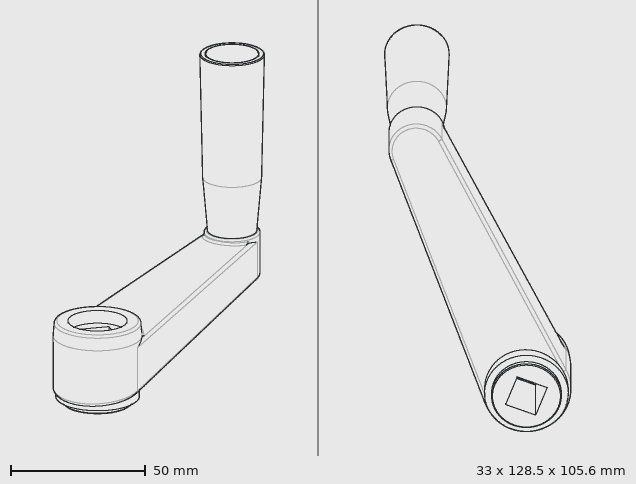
import cadquery as cq
import math

crank_length = 100.0
hub_radius = 33.0 / 2
boss_radius = 10.4

hub_height = 32.1
hub_draft_start = 26.3
hub_top_radius = 16.0
hub_edge_round = 1.0
neck_radius = 15.5
spigot_radius = 26.0 / 2
spigot_height = 2.3
spigot_chamfer = 0.4
bore_diameter = 22.0
bore_depth = 5.0
square_side = 12.0

arm_bottom_z = 5.7
arm_bottom_angle = 6.8
arm_bottom_slope = math.tan(math.radians(arm_bottom_angle))
arm_top_z = 27.2
arm_top_angle = 4.3
arm_top_slope = math.tan(math.radians(arm_top_angle))
crown_radius = 64.2
arm_edge_round = 1.3
root_fillet = 0.9

boss_height = 35.8
boss_edge_round = 0.8
grip_base_z = 36.0
grip_base_radius = 18.4 / 2
grip_break_z = 56.8
grip_break_radius = 22.0 / 2
grip_top_z = 105.6
grip_top_radius = 24.0 / 2
grip_edge_chamfer = 0.4
groove_outer_radius = 20.0 / 2
groove_inner_radius = 19.7 / 2
groove_depth = 0.5


def tapered_bar(inset):
    """Upright bar between the hub and boss tangent points, each long side moved in by inset."""
    sine = (hub_radius - boss_radius) / crank_length
    cosine = math.sqrt(1 - sine**2)
    hub_x, hub_y = hub_radius * cosine - inset, hub_radius * sine
    boss_x, boss_y = boss_radius * cosine - inset, crank_length + boss_radius * sine
    return (
        cq.Workplane("XY")
        .polyline([(hub_x, hub_y), (boss_x, boss_y), (-boss_x, boss_y), (-hub_x, hub_y)])
        .close()
        .extrude(boss_height - boss_edge_round)
    )


def make_crown():
    """Large cylinder lying along the arm; its upper side is the arched top of the arm."""
    return (
        cq.Workplane("XZ")
        .circle(crown_radius)
        .extrude(2 * crank_length, both=True)
        .rotate((0, 0, 0), (1, 0, 0), arm_top_angle)
        .translate((0, 0, arm_top_z - crown_radius / math.cos(math.radians(arm_top_angle))))
    )


def make_web():
    """Arm between the hub and the boss, with its two long upper edges rounded."""
    web = tapered_bar(0).intersect(make_crown())
    return web.edges("%ELLIPSE").edges("<X or >X").fillet(arm_edge_round)


def make_roots():
    """Hub and boss standing on the arched top with filleted roots, trimmed between the edge rounds."""
    draft_slope = (hub_radius - hub_top_radius) / (hub_height - hub_draft_start)
    base_z = hub_draft_start / 2
    cone_top_z = hub_height - 2 * hub_edge_round
    cone = (
        cq.Workplane("XZ")
        .polyline([
            (0, base_z),
            (hub_radius + draft_slope * (hub_draft_start - base_z), base_z),
            (hub_radius + draft_slope * (hub_draft_start - cone_top_z), cone_top_z),
            (0, cone_top_z),
        ])
        .close()
        .revolve(360, (0, 0, 0), (0, 1, 0))
    )
    post = (
        cq.Workplane("XY", origin=(0, crank_length, base_z))
        .circle(boss_radius)
        .extrude(boss_height - base_z)
    )
    plate_width = 3 * hub_radius
    plate_length = 4 * crank_length
    plate = cq.Workplane("XY").box(plate_width, plate_length, plate_length).intersect(make_crown())
    search_reach = boss_radius / 2
    roots = plate.union(cone).union(post)
    for y in (0, crank_length):
        center_z = arm_top_z + arm_top_slope * y
        around = cq.selectors.BoxSelector(
            (-search_reach, y - search_reach, center_z - search_reach),
            (search_reach, y + search_reach, center_z),
        )
        roots = roots.edges(around).fillet(root_fillet)
    return roots.intersect(tapered_bar(arm_edge_round))


def make_hub_body():
    return (
        cq.Workplane("XZ")
        .polyline([
            (0, 0),
            (hub_radius, 0),
            (hub_radius, hub_draft_start),
            (hub_top_radius, hub_height),
            (0, hub_height),
        ])
        .close()
        .revolve(360, (0, 0, 0), (0, 1, 0))
        .faces(">Z")
        .edges()
        .fillet(hub_edge_round)
    )


def make_boss():
    return (
        cq.Workplane("XY", origin=(0, crank_length, 0))
        .circle(boss_radius)
        .extrude(boss_height)
        .faces(">Z")
        .edges()
        .fillet(boss_edge_round)
    )


def below_arm():
    """Everything under the flat sloping underside of the arm."""
    y_start = -2 * hub_radius
    y_end = crank_length + 2 * boss_radius
    floor_z = -hub_height
    return (
        cq.Workplane("YZ")
        .polyline([
            (y_start, floor_z),
            (y_end, floor_z),
            (y_end, arm_bottom_z + arm_bottom_slope * y_end),
            (y_start, arm_bottom_z + arm_bottom_slope * y_start),
        ])
        .close()
        .extrude(2 * hub_radius, both=True)
    )


def make_arm():
    arm = make_web().union(make_hub_body()).union(make_boss()).union(make_roots()).cut(below_arm())
    return arm.faces("<Z").edges().fillet(arm_edge_round)


def make_neck():
    neck = (
        cq.Workplane("XY", origin=(0, 0, spigot_height))
        .circle(neck_radius)
        .extrude(hub_height / 2)
    )
    spigot = (
        cq.Workplane("XY")
        .circle(spigot_radius)
        .extrude(hub_height / 2)
        .faces("<Z")
        .chamfer(spigot_chamfer)
    )
    return neck.union(spigot)


def make_grip():
    grip = (
        cq.Workplane("XZ")
        .polyline([
            (0, arm_top_z),
            (grip_base_radius, arm_top_z),
            (grip_base_radius, grip_base_z),
            (grip_break_radius, grip_break_z),
            (grip_top_radius, grip_top_z - grip_edge_chamfer),
            (grip_top_radius - grip_edge_chamfer, grip_top_z),
            (0, grip_top_z),
        ])
        .close()
        .revolve(360, (0, 0, 0), (0, 1, 0))
    )
    groove = (
        cq.Workplane("XY", origin=(0, 0, grip_top_z - groove_depth))
        .circle(groove_outer_radius)
        .circle(groove_inner_radius)
        .extrude(groove_depth)
    )
    return grip.cut(groove).translate((0, crank_length, 0))


def hub_hole():
    bore = (
        cq.Workplane("XY", origin=(0, 0, hub_height - bore_depth))
        .circle(bore_diameter / 2)
        .extrude(bore_depth)
    )
    square = (
        cq.Workplane("XY")
        .rect(square_side, square_side)
        .extrude(hub_height)
        .rotate((0, 0, 0), (0, 0, 1), 45)
    )
    return bore.union(square)


result = make_arm().union(make_neck()).union(make_grip()).cut(hub_hole())